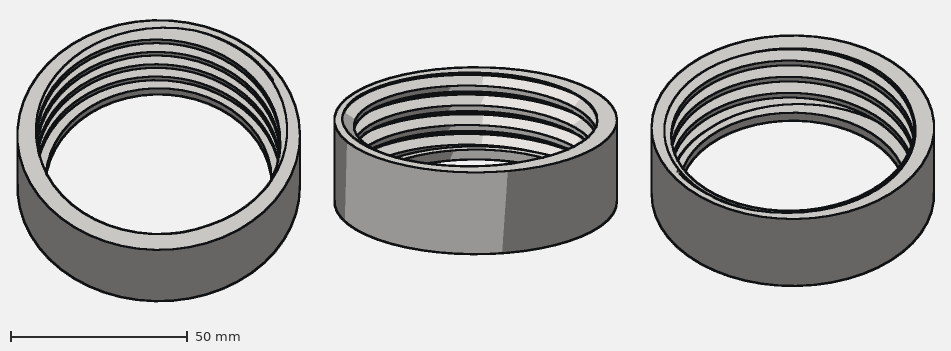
import cadquery as cq

outer_diameter = 80.0
height = 25.0
lip_diameter = 64.0
lip_height = 3.0

crest_diameter = 68.9
root_diameter = 75.6
pitch = 6.0
crest_width = 1.8
root_width = 0.4
spare_turns = 1
mouth_overlap = 0.2

crest_radius = crest_diameter / 2
root_radius = root_diameter / 2
mouth_width = pitch - crest_width


def make_ring():
    """Plain ring with a narrower lip at the bottom of its bore."""
    ring = cq.Workplane("XY").circle(outer_diameter / 2).circle(lip_diameter / 2).extrude(height)
    bore = cq.Workplane("XY", origin=(0, 0, lip_height)).circle(crest_radius).extrude(height - lip_height)
    return ring.cut(bore)


def make_thread_groove():
    """Helical groove running from the lip to the rim, deepest on +Y at the rim."""
    turns = round(height / pitch) + 2 * spare_turns
    start_z = height - pitch / 4 - (turns - spare_turns) * pitch

    flank_slope = (mouth_width - root_width) / 2 / (root_radius - crest_radius)
    inner_radius = crest_radius - mouth_overlap
    inner_half = mouth_width / 2 + mouth_overlap * flank_slope
    root_half = root_width / 2

    profile = cq.Workplane("XZ").polyline([
        (inner_radius, start_z - inner_half),
        (root_radius, start_z - root_half),
        (root_radius, start_z + root_half),
        (inner_radius, start_z + inner_half),
    ]).close()
    helix = cq.Wire.makeHelix(pitch, turns * pitch, crest_radius, center=cq.Vector(0, 0, start_z))
    groove = profile.sweep(cq.Workplane(obj=helix), isFrenet=True)

    threaded_zone = (
        cq.Workplane("XY", origin=(0, 0, lip_height))
        .circle(outer_diameter / 2)
        .extrude(height)
    )
    return groove.intersect(threaded_zone)


result = make_ring().cut(make_thread_groove())